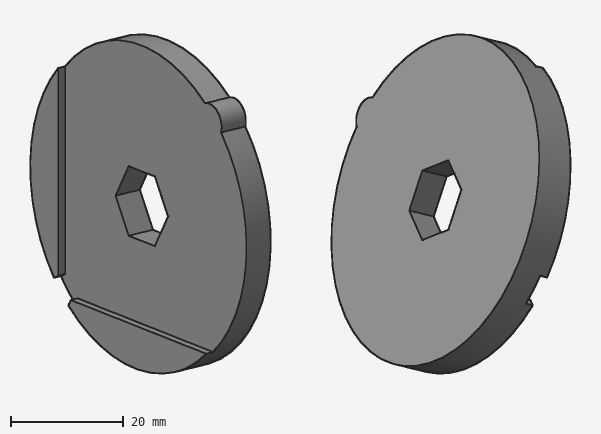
import cadquery as cq
import math

disc_diameter = 60.0
disc_radius = disc_diameter / 2
plate_thickness = 5.5
step_height = 1.55
total_thickness = plate_thickness + step_height

step_offset = 21.95
step_end = 18.35
step_end_angle = 30.0

lug_radius = 3.5
lug_x = 19.4
lug_z = 20.65

hex_across_corners = 15.0


def extrude_forward(profile, depth):
    """Extrude an XZ profile from Y = 0 toward -Y."""
    return profile.extrude(depth)


def make_plate():
    disc = extrude_forward(cq.Workplane("XZ").circle(disc_radius), plate_thickness)
    lug = extrude_forward(cq.Workplane("XZ").center(lug_x, lug_z).circle(lug_radius), plate_thickness)
    return disc.union(lug)


def make_left_step():
    """Circle segment left of the wall, with its lower tip cut off at an angle."""
    outside = -disc_radius
    drop = (step_offset + outside) * math.tan(math.radians(step_end_angle))
    region = extrude_forward(
        cq.Workplane("XZ").polyline([
            (-step_offset, -step_end),
            (-step_offset, disc_radius),
            (outside, disc_radius),
            (outside, -step_end + drop),
        ]).close(),
        total_thickness,
    )
    disc = extrude_forward(cq.Workplane("XZ").circle(disc_radius), total_thickness)
    return disc.intersect(region)


def make_bottom_step():
    """The left segment reflected across the diagonal X = Z."""
    return make_left_step().mirror("YZ").rotate((0, 0, 0), (0, 1, 0), 90)


def make_hex_hole():
    return extrude_forward(cq.Workplane("XZ").polygon(6, hex_across_corners), total_thickness)


result = make_plate().union(make_left_step()).union(make_bottom_step()).cut(make_hex_hole())